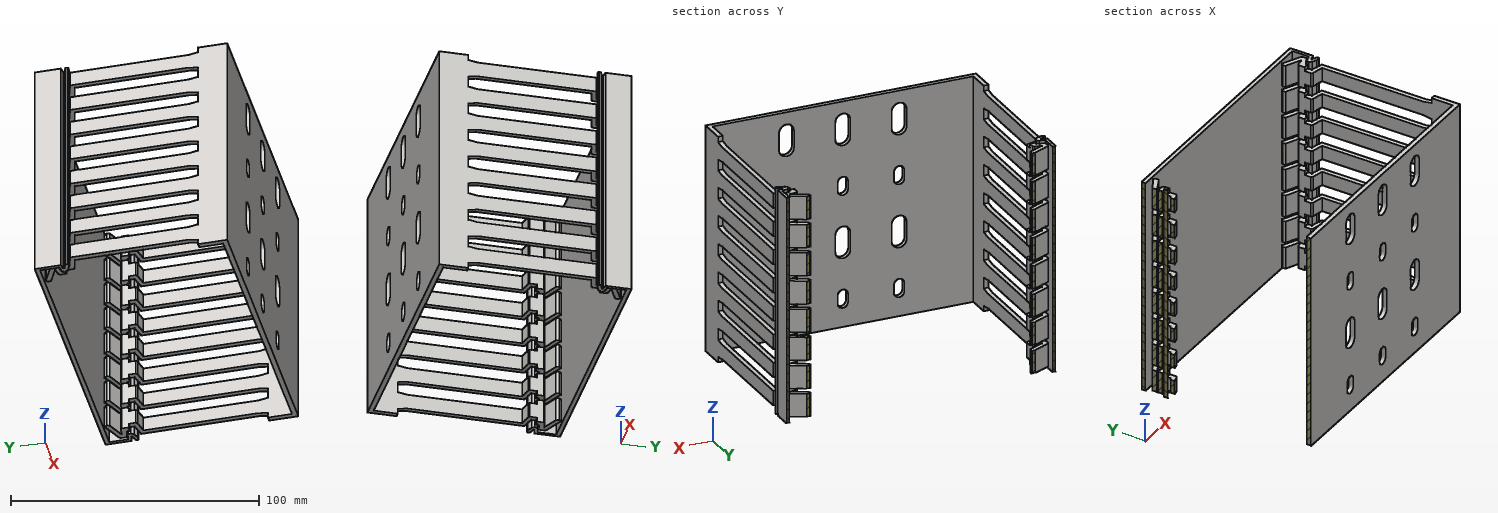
import cadquery as cq

duct_width = 120.1
duct_depth = 80.0
duct_length = 100.0
half_width = duct_width / 2

wall = 2.2
strip_height = 12.1
finger_count = 8
slot_width = 6.0
slot_root_width = 4.7
slot_taper_length = 3.8
slot_neck_width = 2.3
slot_neck_drop = 11.4
finger_pitch = duct_length / finger_count

shoulder_drop = 14.8
hook_leg_inset = 5.4
hook_inner_inset = 7.8
leg_rise = 1.5
hook_corner = 0.6
hook_top_drop = 8.0
hook_bottom_drop = 15.0
hook_foot_drop = 16.2

hole_pitch = duct_length / 4
hole_columns = 3
hole_rows = 2
hole_row_spacing = 2 * hole_pitch
small_first_row_z = hole_pitch / 2
large_first_row_z = small_first_row_z + hole_pitch
large_hole_width = 6.6
large_hole_length = 14.0
small_hole_width = 4.6
small_hole_length = 8.0

cover_inset = 0.2
cover_top = 1.9
cover_side = 1.5
cover_inner_inset = cover_inset + cover_side
lip_end_drop = 13.9
lip_end_chamfer = 0.5


def duct_point(inset, drop):
    """XY point given by its inset from the -X side and its drop below the cover top."""
    return (inset - half_width, duct_depth - drop)


def extrude_symmetric(half_outline):
    """Extrude the -X half of a cross-section along Z and join it to its mirror image."""
    points = [duct_point(inset, drop) for inset, drop in half_outline]
    half = cq.Workplane("XY").polyline(points).close().extrude(duct_length)
    return half.union(half.mirror("YZ"))


def finger_slots():
    """Cutters for the slots between fingers; half of the first and last lies past the duct ends."""
    taper_start = strip_height + slot_taper_length
    half_slot = slot_width / 2
    half_root = slot_root_width / 2
    half_neck = slot_neck_width / 2
    neck_start = duct_depth - slot_neck_drop
    slots = []
    for index in range(finger_count + 1):
        z = index * finger_pitch
        outline = [
            (strip_height, z - half_root),
            (taper_start, z - half_slot),
            (neck_start, z - half_slot),
            (neck_start, z - half_neck),
            (duct_depth, z - half_neck),
            (duct_depth, z + half_neck),
            (neck_start, z + half_neck),
            (neck_start, z + half_slot),
            (taper_start, z + half_slot),
            (strip_height, z + half_root),
        ]
        slots.append(cq.Workplane("YZ").polyline(outline).close().extrude(half_width, both=True))
    return slots


def mounting_holes(length, width, first_row_z):
    """Cutters for two rows of upright floor slots, starting at the given height."""
    return (
        cq.Workplane("XZ")
        .center(0, first_row_z + hole_row_spacing / 2)
        .rarray(hole_pitch, hole_row_spacing, hole_columns, hole_rows)
        .slot2D(length, width, 90)
        .extrude(-wall)
    )


def make_base():
    """U-shaped channel with slotted sides, a snap hook on every finger and mounting slots."""
    hook_outline = [
        (0, shoulder_drop),
        (hook_leg_inset, shoulder_drop - leg_rise),
        (hook_leg_inset, 10.5),
        (4.2, 9.7),
        (2.3, 9.4),
        (cover_inner_inset, 9.1),
        (cover_inner_inset, 6.6),
        (2.4, 6.0),
        (9.8, 2.4),
        (10.1, cover_top),
        (10.7, 2.5),
        (11.2, 3.1),
        (10.8, 4.3),
        (4.0, 7.6),
        (hook_inner_inset - hook_corner, hook_top_drop),
        (hook_inner_inset, hook_top_drop + hook_corner),
        (hook_inner_inset, hook_bottom_drop - hook_corner),
        (hook_inner_inset - hook_corner, hook_bottom_drop),
        (wall, hook_foot_drop),
    ]
    floor_outline = [
        (wall, duct_depth - wall),
        (half_width, duct_depth - wall),
        (half_width, duct_depth),
        (0, duct_depth),
    ]
    base = extrude_symmetric(hook_outline + floor_outline)
    for slot in finger_slots():
        base = base.cut(slot)
    base = base.cut(mounting_holes(small_hole_length, small_hole_width, small_first_row_z))
    return base.cut(mounting_holes(large_hole_length, large_hole_width, large_first_row_z))


def make_cover():
    """Flat lid whose sides end in V-shaped lips that snap behind the base shoulders."""
    outline = [
        (half_width, 0),
        (cover_inset, 0),
        (cover_inset, 10.8),
        (2.6, 11.3),
        (2.8, 11.8),
        (cover_inset, 12.7),
        (cover_inset, lip_end_drop - lip_end_chamfer),
        (cover_inset + lip_end_chamfer, lip_end_drop),
        (2.2, 13.8),
        (4.3, 12.9),
        (5.2, 11.8),
        (4.9, 10.7),
        (4.2, 10.1),
        (cover_inner_inset, 9.7),
        (cover_inner_inset, cover_top),
        (half_width, cover_top),
    ]
    return extrude_symmetric(outline)


base = make_base()
cover = make_cover()
result = cq.Compound.makeCompound([base.val(), cover.val()])